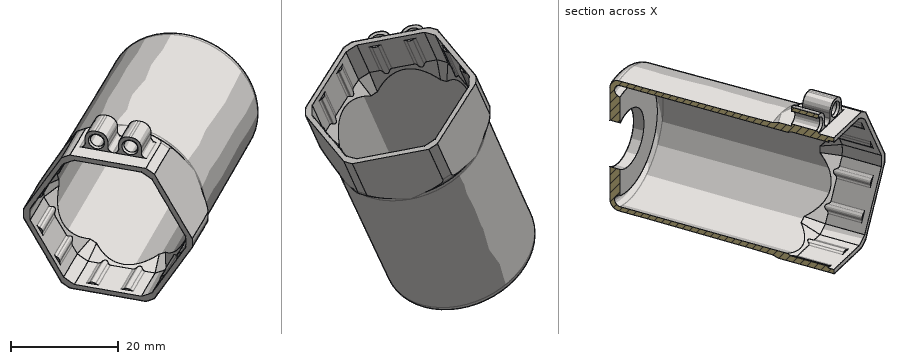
import cadquery as cq
import math

length = 47.45

head_apothem = 14.75
head_corner_radius = 16.5
head_straight = 9.15
shoulder_angle = math.radians(35)
shoulder_round = 2.0

barrel_mouth_radius = head_apothem
barrel_tip_radius = 14.5
tip_round = 2.0
bore_radius = 13.48
floor_thickness = 2.25
floor_groove_radius = 1.15
tip_hole_radius = 6.0

head_wall = 1.0
pocket_apothem = head_apothem - head_wall
pocket_corner_radius = 15.25
pocket_depth = 8.3
pocket_lean_run = 4.75
pocket_lean = math.radians(25)

rib_offset = 3.35
rib_height = 0.4
rib_round = 1.0
rib_start = 1.2

eyelet_offset = 3.27
eyelet_half_width = 2.25
eyelet_top_round = 2.0
eyelet_foot_round = 1.0
eyelet_start = 3.25
eyelet_length = 5.8
eyelet_height = 4.1
eyelet_hole_height = 1.8
eyelet_hole_radius = 1.35
eyelet_hole_flare = 0.25
eyelet_flare_depth = 0.5

FLAT_COUNT = 6
FLAT_ANGLE = 360 / FLAT_COUNT
CORNER_SCALE = 1 / math.cos(math.pi / FLAT_COUNT)


def along_y(start):
    """Workplane across the axis at the given station, with local x = X and local y = Z.

    Its normal is -Y, so a negative extrusion runs toward the tip.
    """
    plane = cq.Plane(origin=(0, start, 0), xDir=(1, 0, 0), normal=(0, -1, 0))
    return cq.Workplane(plane)


def revolve_about_y(outline):
    return outline.close().revolve(360, (0, 0, 0), (0, 1, 0))


def hex_profile(start, apothem):
    """Hexagon with flats on +Z and -Z."""
    return along_y(start).polygon(FLAT_COUNT, 2 * apothem * CORNER_SCALE)


def outer_body():
    """Turned outline with a rounded conical shoulder, its head cut to a hexagon."""
    sine = math.sin(shoulder_angle)
    cosine = math.cos(shoulder_angle)
    half_sine = math.sin(shoulder_angle / 2)
    half_cosine = math.cos(shoulder_angle / 2)

    round_drop = shoulder_round * (1 - cosine)
    round_run = shoulder_round * sine
    half_drop = shoulder_round * (1 - half_cosine)
    half_run = shoulder_round * half_sine
    cone_drop = head_corner_radius - barrel_mouth_radius - 2 * round_drop
    cone_run = cone_drop / math.tan(shoulder_angle)
    cone_start = head_straight + round_run
    cone_end = cone_start + cone_run
    shoulder_end = cone_end + round_run

    turned = revolve_about_y(
        cq.Workplane("XY")
        .lineTo(head_corner_radius, 0)
        .lineTo(head_corner_radius, head_straight)
        .threePointArc(
            (head_corner_radius - half_drop, head_straight + half_run),
            (head_corner_radius - round_drop, cone_start),
        )
        .lineTo(barrel_mouth_radius + round_drop, cone_end)
        .threePointArc(
            (barrel_mouth_radius + half_drop, shoulder_end - half_run),
            (barrel_mouth_radius, shoulder_end),
        )
        .lineTo(barrel_tip_radius, length)
        .lineTo(0, length)
    )
    turned = turned.faces(">Y").edges().fillet(tip_round)
    hex_blank = hex_profile(0, head_apothem).extrude(-length)
    return turned.intersect(hex_blank)


def bore():
    """Round cavity with a half-round groove around its floor and a hole through the tip."""
    floor = length - floor_thickness
    cavity = revolve_about_y(
        cq.Workplane("XY")
        .lineTo(bore_radius, 0)
        .lineTo(bore_radius, floor)
        .threePointArc(
            (bore_radius - floor_groove_radius, floor + floor_groove_radius),
            (bore_radius - 2 * floor_groove_radius, floor),
        )
        .lineTo(0, floor)
    )
    return cavity.union(along_y(0).circle(tip_hole_radius).extrude(-length))


def pocket():
    """Hexagonal pocket with rounded corners, narrowing to the bore at its inner end."""
    lean_drop = pocket_lean_run * math.tan(pocket_lean)
    inner_end = pocket_depth + pocket_lean_run
    turned = revolve_about_y(
        cq.Workplane("XY")
        .lineTo(pocket_corner_radius, 0)
        .lineTo(pocket_corner_radius, pocket_depth)
        .lineTo(pocket_corner_radius - lean_drop, inner_end)
        .lineTo(0, inner_end)
    )
    straight = hex_profile(0, pocket_apothem).extrude(-pocket_depth)
    narrowing = (
        hex_profile(pocket_depth, pocket_apothem)
        .workplane(offset=-pocket_lean_run)
        .polygon(FLAT_COUNT, 2 * (pocket_apothem - lean_drop) * CORNER_SCALE)
        .loft(ruled=True)
    )
    return straight.union(narrowing).intersect(turned)


def grip_rib(offset):
    """Rounded rib on the lower flat, blended into it with concave rounds."""
    turn = math.acos(1 - rib_height / (2 * rib_round))
    half_width = 2 * rib_round * math.sin(turn)
    base = -pocket_apothem
    crown = base + rib_height
    half_drop = rib_round * (1 - math.cos(turn / 2))
    half_run = rib_round * math.sin(turn / 2)
    embed = head_wall / 2
    rib_end = pocket_depth + rib_height / math.tan(pocket_lean)
    return (
        along_y(rib_start)
        .moveTo(offset - half_width, base - embed)
        .lineTo(offset - half_width, base)
        .threePointArc(
            (offset - half_width + half_run, base + half_drop),
            (offset - half_width / 2, base + rib_height / 2),
        )
        .threePointArc((offset, crown), (offset + half_width / 2, base + rib_height / 2))
        .threePointArc(
            (offset + half_width - half_run, base + half_drop),
            (offset + half_width, base),
        )
        .lineTo(offset + half_width, base - embed)
        .close()
        .extrude(-(rib_end - rib_start))
    )


def eyelet(offset):
    """Upright lug with rounded top corners, flared feet and a flared hole along Y."""
    body = (
        along_y(eyelet_start)
        .center(offset, head_apothem + eyelet_height / 2)
        .rect(2 * eyelet_half_width, eyelet_height)
        .extrude(-eyelet_length)
        .edges("|Y and >Z")
        .fillet(eyelet_top_round)
    )
    embed = head_wall / 2
    foot_half = eyelet_half_width + eyelet_foot_round
    foot = (
        along_y(eyelet_start)
        .center(offset, head_apothem + (eyelet_foot_round - embed) / 2)
        .rect(2 * foot_half, eyelet_foot_round + embed)
        .extrude(-eyelet_length)
    )
    hollows = (
        along_y(eyelet_start)
        .pushPoints([
            (offset + side * foot_half, head_apothem + eyelet_foot_round) for side in (-1, 1)
        ])
        .circle(eyelet_foot_round)
        .extrude(-eyelet_length)
    )
    hole = (
        along_y(eyelet_start)
        .center(offset, head_apothem + eyelet_hole_height)
        .circle(eyelet_hole_radius)
        .extrude(-eyelet_length)
    )
    hole_mouth = (
        along_y(eyelet_start)
        .center(offset, head_apothem + eyelet_hole_height)
        .circle(eyelet_hole_radius + eyelet_hole_flare)
        .workplane(offset=-eyelet_flare_depth)
        .circle(eyelet_hole_radius)
        .loft()
    )
    return body.union(foot.cut(hollows)).cut(hole).cut(hole_mouth)


result = outer_body().cut(bore()).cut(pocket())
for index in range(FLAT_COUNT):
    for side in (-1, 1):
        rib = grip_rib(side * rib_offset).rotate((0, 0, 0), (0, 1, 0), index * FLAT_ANGLE)
        result = result.union(rib)
for side in (-1, 1):
    result = result.union(eyelet(side * eyelet_offset))